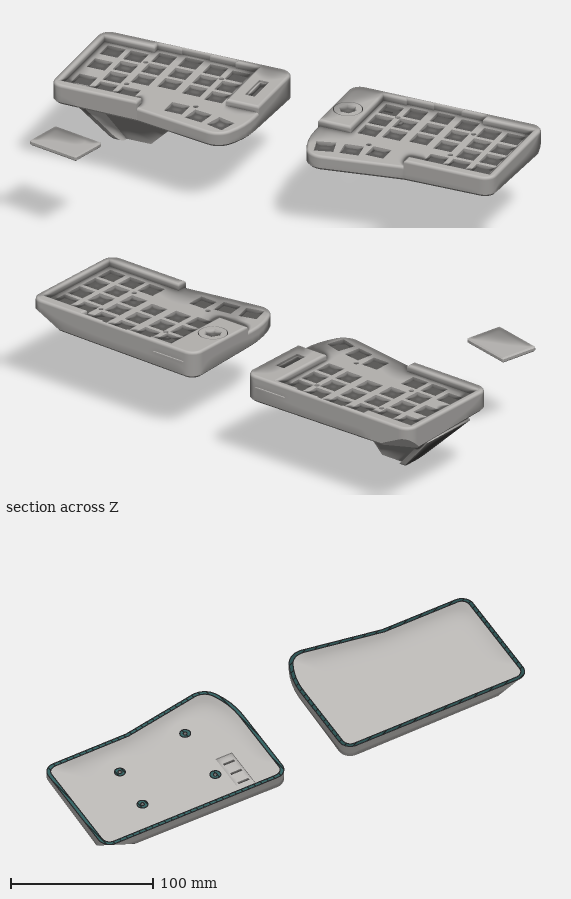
import cadquery as cq
import math


total_span = 342.9
half_width = 148.6
half_depth = 89.6
bezel_height = 5.0
plate_height = 3.0
plate_top = -bezel_height
bottom_top = plate_top - plate_height
edge_round = 2.0

far = 300.0

corner_radius = 9.0
thumb_corner_radius = 14.0
inner_straight_end = -65.0
front_bend_x = 68.0
front_slope = math.radians(10)
front_slope_end_x = 127.0

opening_outer = 5.3
opening_back = -9.0
opening_front = -81.4
opening_back_steps = [(44.1, -3.9), (63.0, -2.8), (84.5, -3.9), (105.0, -5.5)]
block_edge_x = 122.9
block_front = -59.5
front_strip_end = 67.9

key_size = 14.0
key_pitch = 17.0
outer_column_x = 16.3
outer_column_top = -19.5
left_outer_rows = [0, 1.25, 2.75]
right_outer_rows = [0, 1, 2, 3]
key_columns = [
    (34.4, -19.5, 4),
    (54.0, -14.4, 3),
    (73.7, -12.5, 3),
    (93.8, -14.4, 3),
    (111.9, -16.35, 3),
]
extra_key = (51.9, outer_column_top - 3 * key_pitch)
thumb_keys = [(93.3, -77.4, 0), (111.9, -81.6, -8), (130.9, -85.3, -16)]

screw_places = [(44.2, -24.2), (103.0, -24.2), (45.8, -59.3), (104.2, -69.5)]
screw_hole_diameter = 2.4
screw_head_diameter = 3.9
screw_head_depth = 1.5
boss_diameter = 8.0

bottom_depth_outer = 19.2
bottom_slope_x = math.degrees(math.atan(0.01))
bottom_slope_y = math.degrees(math.atan(0.042))
bottom_blank_height = 30.0
bottom_chamfer = 2.0
bottom_wall = 3.0
cavity_depth = 1.5
corner_cut_depth = 5.4
corner_cut_slope_x = 0.48
corner_cut_slope_y = 1.0
corner_cut_reach = 40.0
corner_cut_margin = 10.0

tab_start = 111.9
tab_length = 27.0
tab_thickness = 0.6
tab_reach = 1.0
tab_root = 2.0

bay_edge_x = 110.8
bay_back = -4.0
bay_front = -37.5
bay_far_x = 124.0
bay_depth = 1.0
slot_start_x = 113.4
slot_length = 9.0
slot_width = 2.0
slot_rows = [-10.1, -20.4, -30.8]

display_center = (135.6, -34.9)
display_recess = (7.6, 24.0)
display_window = (5.0, 22.0)
display_recess_depth = 1.5

knob_center = (136.2, -35.9)
knob_diameter = 20.0
knob_hole_diameter = 21.4
knob_hex_flats = 11.5
knob_hex_floor_flats = 8.3
knob_hex_depth = 2.5

leg_bottom = -54.09
leg_root = -10.0
leg_foot_back = -38.4
leg_foot_front = -57.6
leg_back_slope = 0.435
leg_front_slope = 0.285
leg_tip_radius = 8.0
leg_wall = 3.4
leg_rib_back = -44.9
leg_rib_front = -50.0
leg_foot_outer = 36.6
leg_foot_inner = 60.5

module_size = (41.6, 29.6, 4.0)
module_center = (44.6, -157.9, -5.4)
module_turn = -13.0
module_tilt = -1.5
module_corner_radius = 1.5
module_edge_chamfer = 1.0


def outline():
    """Closed outline of one half, drawn at Z = 0."""
    front_end_y = -half_depth - (front_slope_end_x - front_bend_x) * math.tan(front_slope)
    thumb_x = front_slope_end_x + thumb_corner_radius * math.sin(front_slope)
    thumb_y = front_end_y + thumb_corner_radius * math.cos(front_slope)
    across = half_width - thumb_x
    along = inner_straight_end - thumb_y
    side_radius = (across**2 + along**2 - thumb_corner_radius**2) / (2 * (across - thumb_corner_radius))
    side_x = half_width - side_radius
    side_turn = math.atan2(along, thumb_x - side_x)

    def on_side(angle):
        return (side_x + side_radius * math.cos(angle), inner_straight_end - side_radius * math.sin(angle))

    def on_thumb(angle):
        return (
            thumb_x + thumb_corner_radius * math.cos(angle),
            thumb_y - thumb_corner_radius * math.sin(angle),
        )

    thumb_turn_end = math.pi / 2 + front_slope
    return (
        cq.Workplane("XY")
        .moveTo(corner_radius, 0)
        .lineTo(half_width - corner_radius, 0)
        .radiusArc((half_width, -corner_radius), corner_radius)
        .lineTo(half_width, inner_straight_end)
        .threePointArc(on_side(side_turn / 2), on_side(side_turn))
        .threePointArc(on_thumb((side_turn + thumb_turn_end) / 2), on_thumb(thumb_turn_end))
        .lineTo(front_bend_x, -half_depth)
        .lineTo(corner_radius, -half_depth)
        .radiusArc((0, -half_depth + corner_radius), corner_radius)
        .lineTo(0, -corner_radius)
        .radiusArc((corner_radius, 0), corner_radius)
        .close()
    )


def slab(top, height):
    """Straight layer of the case."""
    return outline().extrude(height).translate((0, 0, top - height))


def opening_outline():
    """Key area inside the bezel, open toward the thumb side."""
    points = [(opening_outer, opening_front), (opening_outer, opening_back)]
    level = opening_back
    for x, next_level in opening_back_steps:
        points += [(x, level), (x, next_level)]
        level = next_level
    points += [
        (block_edge_x, level),
        (block_edge_x, block_front),
        (far, block_front),
        (far, -far),
        (front_strip_end, -far),
        (front_strip_end, opening_front),
    ]
    return cq.Workplane("XY").polyline(points).close()


def bezel():
    """Raised rim with the inner block; its outer and inner top edges are rounded alike."""
    rounded_outside = slab(0, bezel_height).faces(">Z").edges().fillet(edge_round)
    block = cq.Workplane("XY").rect(2 * far, 2 * far).extrude(-bezel_height)
    opening = opening_outline().extrude(-bezel_height)
    rounded_inside = block.cut(opening).faces(">Z").edges().fillet(edge_round)
    return rounded_outside.intersect(rounded_inside)


def left_bezel():
    recess = cq.Workplane("XY").center(*display_center).rect(*display_recess).extrude(-display_recess_depth)
    window = cq.Workplane("XY").center(*display_center).rect(*display_window).extrude(-bezel_height)
    return bezel().cut(recess).cut(window)


def right_bezel():
    hole = cq.Workplane("XY").center(*knob_center).circle(knob_hole_diameter / 2).extrude(-bezel_height)
    return bezel().cut(hole)


def plate(outer_rows):
    """Key plate; its top edge is rounded where the bezel leaves it uncovered."""
    rounded = slab(plate_top, plate_height).faces(">Z").edges().fillet(edge_round)
    covered = slab(plate_top, plate_height).cut(opening_outline().extrude(-far))
    body = rounded.union(covered)

    keys = [(outer_column_x, outer_column_top - row * key_pitch, 0) for row in outer_rows]
    for x, top_y, count in key_columns:
        keys += [(x, top_y - row * key_pitch, 0) for row in range(count)]
    keys.append((*extra_key, 0))
    keys += thumb_keys
    for x, y, turn in keys:
        hole = cq.Workplane("XY").rect(key_size, key_size).extrude(bottom_top)
        body = body.cut(hole.rotate((0, 0, 0), (0, 0, 1), turn).translate((x, y, 0)))

    return (
        body.cut(screw_pins(screw_hole_diameter, plate_top, plate_height))
        .cut(screw_pins(screw_head_diameter, plate_top, screw_head_depth))
    )


def screw_pins(diameter, top, height):
    """Cylinders at the screw places."""
    pins = cq.Workplane("XY").pushPoints(screw_places).circle(diameter / 2).extrude(height)
    return pins.translate((0, 0, top - height))


def below_bottom():
    """Space under the sloping underside, which falls toward the back and the inner side."""
    block = cq.Workplane("XY").rect(2 * far, 2 * far).extrude(-far)
    return (
        block.rotate((0, 0, 0), (1, 0, 0), -bottom_slope_y)
        .rotate((0, 0, 0), (0, 1, 0), bottom_slope_x)
        .translate((0, 0, -bottom_depth_outer))
    )


def corner_cut():
    """Space under the slanted plane that trims the lower outer back corner."""
    def on_plane(x, y):
        return cq.Vector(x, y, -corner_cut_depth - corner_cut_slope_x * x + corner_cut_slope_y * y)

    triangle = cq.Wire.makePolygon(
        [
            on_plane(-corner_cut_margin, corner_cut_margin),
            on_plane(corner_cut_reach, corner_cut_margin),
            on_plane(-corner_cut_margin, -corner_cut_reach),
        ],
        close=True,
    )
    return cq.Workplane(cq.Solid.extrudeLinear(triangle, [], cq.Vector(0, 0, -far)))


def bottom():
    """Bottom case with a sloping, chamfered underside."""
    body = slab(bottom_top, bottom_blank_height).cut(below_bottom())
    body = body.faces("<Z").edges().chamfer(bottom_chamfer).cut(corner_cut())
    tab = (
        cq.Workplane("XY")
        .box(tab_length, tab_reach + tab_root, tab_thickness, centered=False)
        .translate((tab_start, -tab_root, bottom_top - tab_thickness))
    )
    cavity = outline().offset2D(-bottom_wall).extrude(-cavity_depth).translate((0, 0, bottom_top))
    return body.union(tab).cut(cavity)


def right_bottom():
    """Bottom case with screw bosses and a slotted bay."""
    floor = bottom_top - cavity_depth
    bosses = screw_pins(boss_diameter, bottom_top, cavity_depth)
    bay = (
        cq.Workplane("XY")
        .box(bay_far_x - bay_edge_x, bay_back - bay_front, bay_depth, centered=False)
        .translate((bay_edge_x, bay_front, floor - bay_depth))
    )
    body = bottom().union(bosses).cut(bay)
    for y in slot_rows:
        slot = cq.Workplane("XY").box(slot_length, slot_width, far, centered=(False, True, True))
        body = body.cut(slot.translate((slot_start_x, y, 0)))
    return body.cut(screw_pins(screw_hole_diameter, bottom_top, 2 * cavity_depth))


def knob():
    """Round knob with a tapered hexagonal recess."""
    body = cq.Workplane("XY").circle(knob_diameter / 2).extrude(-bezel_height)
    corner_scale = 2 / math.sqrt(3)
    hexagon = (
        cq.Workplane("XY")
        .polygon(6, knob_hex_flats * corner_scale)
        .workplane(offset=-knob_hex_depth)
        .polygon(6, knob_hex_floor_flats * corner_scale)
        .loft()
    )
    return body.cut(hexagon).translate((*knob_center, 0))


def flank_band(outer, inner, lean):
    """Prism between two flanks placed at the foot.

    The outer flank leans outward at 45 degrees; the inner one shifts by lean per unit of rise.
    """
    rise = leg_root - leg_bottom
    return (
        cq.Workplane("XZ")
        .polyline([
            (outer, leg_bottom),
            (outer - rise, leg_root),
            (inner + lean * rise, leg_root),
            (inner, leg_bottom),
        ])
        .close()
        .extrude(half_depth)
    )


def leg():
    """Tent leg: a tapered, round-tipped wall leaning at 45 degrees, stiffened by an upright rib behind it."""
    rise = leg_root - leg_bottom
    side = (
        cq.Workplane("YZ")
        .polyline([
            (leg_foot_back, leg_bottom),
            (leg_foot_back + leg_back_slope * rise, leg_root),
            (leg_foot_front - leg_front_slope * rise, leg_root),
            (leg_foot_front, leg_bottom),
        ])
        .close()
        .extrude(half_width)
        .edges("<Z and |X")
        .fillet(leg_tip_radius)
    )
    wall = side.intersect(flank_band(leg_foot_outer, leg_foot_outer + leg_wall * math.sqrt(2), -1))
    rib_space = (
        cq.Workplane("XY")
        .box(half_width, leg_rib_back - leg_rib_front, far, centered=(False, False, True))
        .translate((0, leg_rib_front, 0))
    )
    rib = rib_space.intersect(flank_band(leg_foot_outer, leg_foot_inner, 1))
    return wall.union(rib).intersect(below_bottom())


def module():
    """Loose flat module, lying slightly tilted and turned."""
    return (
        cq.Workplane("XY")
        .box(*module_size)
        .edges("|Z")
        .fillet(module_corner_radius)
        .faces("<Z or >Z")
        .edges()
        .chamfer(module_edge_chamfer)
        .rotate((0, 0, 0), (0, 0, 1), module_turn)
        .rotate((0, 0, 0), (1, 0, 0), module_tilt)
        .translate(module_center)
    )


def on_left(body):
    return body.translate((-total_span / 2, 0, 0)).val()


def on_right(body):
    return body.translate((-total_span / 2, 0, 0)).mirror("YZ").val()


parts = [
    on_left(left_bezel()),
    on_left(plate(left_outer_rows)),
    on_left(bottom()),
    on_left(leg()),
    on_left(module()),
    on_right(right_bezel()),
    on_right(plate(right_outer_rows)),
    on_right(right_bottom()),
    on_right(knob()),
]
result = cq.Compound.makeCompound(parts)